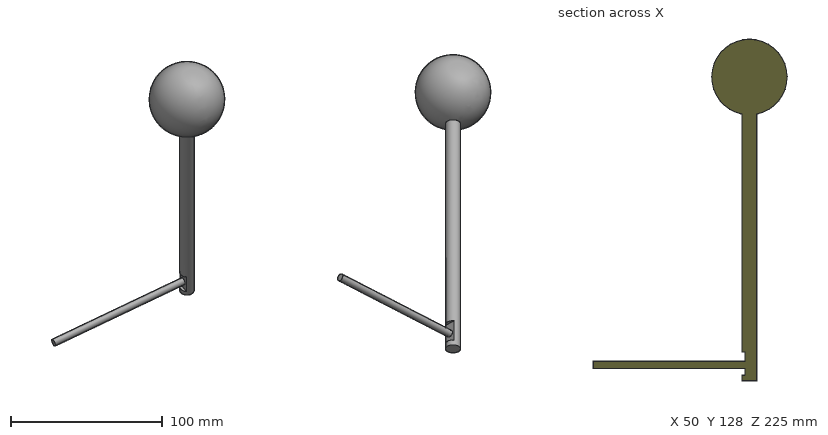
import cadquery as cq

total_height = 225.0
ball_diameter = 50.0
rod_diameter = 10.0

notch_bottom = 3.8
notch_height = 15.0
notch_floor_y = -3.0

pin_diameter = 5.0
pin_length = 100.0
pin_z = 10.5

ball_center_z = total_height - ball_diameter / 2


def make_ball():
    return cq.Workplane("XY").sphere(ball_diameter / 2).translate((0, 0, ball_center_z))


def make_rod():
    return cq.Workplane("XY").circle(rod_diameter / 2).extrude(ball_center_z)


def make_notch():
    return (
        cq.Workplane("XY", origin=(0, notch_floor_y, notch_bottom))
        .box(rod_diameter, rod_diameter, notch_height, centered=(True, False, False))
        .translate((0, -rod_diameter, 0))
    )


def make_pin():
    return (
        cq.Workplane("XZ", origin=(0, notch_floor_y, pin_z))
        .circle(pin_diameter / 2)
        .extrude(pin_length)
    )


result = make_rod().cut(make_notch()).union(make_ball()).union(make_pin())